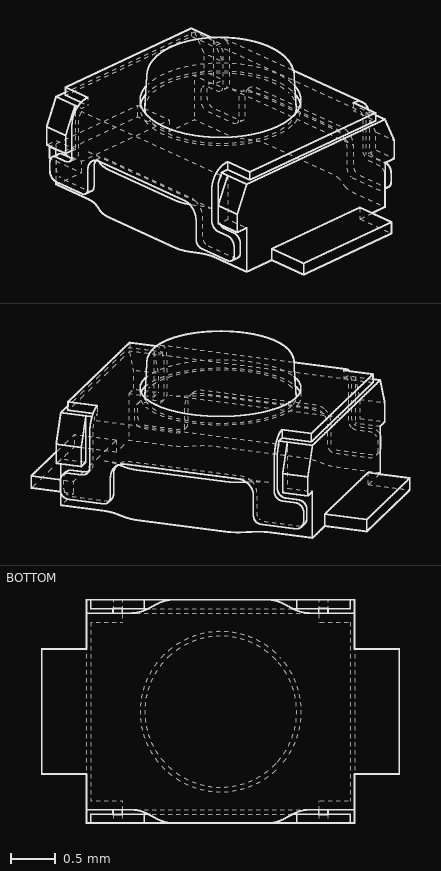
import cadquery as cq


TOTAL_LENGTH = 4.0
TOTAL_WIDTH = 2.5
TOTAL_HEIGHT = 1.61

BASE_LENGTH = 3.0
BASE_WIDTH = 2.2
BASE_HEIGHT = 1.11
POST_INNER_X = 1.2
POST_BOTTOM_Z = 0.555
POST_SLOPE_BOTTOM_Z = 0.785

BULGE_ROOT_X = 0.9
BULGE_CREST_X = 0.62
BULGE_HEIGHT = 0.6
BULGE_BEND_RADIUS = 0.4

TERMINAL_WIDTH = 1.4
TERMINAL_THICKNESS = 0.145

SHEET = 0.1
COVER_TOP_Z = BASE_HEIGHT + SHEET
COVER_LENGTH = 2.9
PLATE_WIDTH = 2.0
COVER_BEND_RADIUS = (TOTAL_WIDTH - PLATE_WIDTH) / 2
COVER_HOLE_RADIUS = 0.9
SKIRT_HALF_LENGTH = 1.1
FOOT_BOTTOM_Z = TERMINAL_THICKNESS
FOOT_TOP_Z = 0.455
FOOT_RADIUS = 0.1
FOOT_NECK_RADIUS = POST_INNER_X - SKIRT_HALF_LENGTH
NOTCH_HALF_LENGTH = 0.85
NOTCH_TOP_Z = 0.65
NOTCH_TOP_RADIUS = 0.18
NOTCH_BOTTOM_RADIUS = 0.09

BUTTON_BOTTOM_RADIUS = 0.85
BUTTON_TOP_RADIUS = 0.82
BUTTON_ROUND = 0.1


def block(length, width, bottom, top):
    """Box centred on X and Y between two heights."""
    return cq.Workplane("XY").workplane(offset=bottom).rect(length, width).extrude(top - bottom)


def round_edges_at(body, half_length, height, radius):
    """Round the edges along Y that stand at +/- half_length and at one height."""
    reach = 0.005
    for x in (-half_length, half_length):
        corner = cq.selectors.BoxSelector(
            (x - reach, -TOTAL_WIDTH, height - reach),
            (x + reach, TOTAL_WIDTH, height + reach),
        )
        body = body.edges("|Y").edges(corner).fillet(radius)
    return body


def make_posts():
    """Four corner posts that widen the base and slope in towards its top."""
    profile = (
        cq.Workplane("YZ")
        .workplane(offset=-BASE_LENGTH / 2)
        .polyline([
            (-TOTAL_WIDTH / 2, POST_BOTTOM_Z),
            (TOTAL_WIDTH / 2, POST_BOTTOM_Z),
            (TOTAL_WIDTH / 2, POST_SLOPE_BOTTOM_Z),
            (BASE_WIDTH / 2, BASE_HEIGHT),
            (-BASE_WIDTH / 2, BASE_HEIGHT),
            (-TOTAL_WIDTH / 2, POST_SLOPE_BOTTOM_Z),
        ])
        .close()
        .extrude(BASE_LENGTH)
    )
    return profile.cut(block(2 * POST_INNER_X, TOTAL_WIDTH, 0, BASE_HEIGHT))


def make_bulges():
    """Central swelling of both long sides, blended by equal bends."""
    side = BASE_WIDTH / 2
    crest = TOTAL_WIDTH / 2
    end = BASE_LENGTH / 2
    outline = [
        (-end, side),
        (-BULGE_ROOT_X, side),
        (-BULGE_CREST_X, crest),
        (BULGE_CREST_X, crest),
        (BULGE_ROOT_X, side),
        (end, side),
    ]
    opposite = [(-x, -y) for x, y in outline]
    slab = cq.Workplane("XY").polyline(outline + opposite).close().extrude(BULGE_HEIGHT)
    central = cq.selectors.BoxSelector(
        (-SKIRT_HALF_LENGTH, -TOTAL_WIDTH, 0),
        (SKIRT_HALF_LENGTH, TOTAL_WIDTH, BULGE_HEIGHT),
    )
    return slab.edges("|Z").edges(central).fillet(BULGE_BEND_RADIUS)


def make_cover():
    """Flat plate over the base with a bent skirt on each long side."""
    outside = block(COVER_LENGTH, TOTAL_WIDTH, 0, COVER_TOP_Z)
    outside = outside.edges("|X and >Z").fillet(COVER_BEND_RADIUS)
    inside = block(COVER_LENGTH, TOTAL_WIDTH - 2 * SHEET, 0, BASE_HEIGHT)
    inside = inside.edges("|X and >Z").fillet(COVER_BEND_RADIUS - SHEET)
    channel = outside.cut(inside)

    foot_bar = block(COVER_LENGTH, TOTAL_WIDTH, FOOT_BOTTOM_Z, FOOT_TOP_Z)
    foot_bar = foot_bar.edges("|Y").fillet(FOOT_RADIUS)
    web = block(2 * SKIRT_HALF_LENGTH, TOTAL_WIDTH, FOOT_BOTTOM_Z, COVER_TOP_Z)
    notch = block(2 * NOTCH_HALF_LENGTH, TOTAL_WIDTH, 0, NOTCH_TOP_Z)
    silhouette = foot_bar.union(web).cut(notch)
    silhouette = round_edges_at(silhouette, SKIRT_HALF_LENGTH, FOOT_TOP_Z, FOOT_NECK_RADIUS)
    silhouette = round_edges_at(silhouette, NOTCH_HALF_LENGTH, NOTCH_TOP_Z, NOTCH_TOP_RADIUS)
    silhouette = round_edges_at(silhouette, NOTCH_HALF_LENGTH, FOOT_BOTTOM_Z, NOTCH_BOTTOM_RADIUS)
    skirts = channel.intersect(silhouette)

    plate = block(COVER_LENGTH, PLATE_WIDTH, BASE_HEIGHT, COVER_TOP_Z)
    hole = cq.Workplane("XY").workplane(offset=BASE_HEIGHT).circle(COVER_HOLE_RADIUS).extrude(SHEET)
    return plate.union(skirts).cut(hole)


def make_housing():
    """Base with its posts, bulges, terminals and cover, all one solid."""
    base = block(BASE_LENGTH, BASE_WIDTH, 0, BASE_HEIGHT)
    terminals = block(TOTAL_LENGTH, TERMINAL_WIDTH, 0, TERMINAL_THICKNESS)
    return base.union(make_posts()).union(make_bulges()).union(terminals).union(make_cover())


def make_button():
    """Slightly tapered round button standing on the base, with a rounded top edge."""
    half_section = (
        cq.Workplane("XZ")
        .polyline([
            (0, BASE_HEIGHT),
            (BUTTON_BOTTOM_RADIUS, BASE_HEIGHT),
            (BUTTON_TOP_RADIUS, TOTAL_HEIGHT),
            (0, TOTAL_HEIGHT),
        ])
        .close()
    )
    button = half_section.revolve(360, (0, 0, 0), (0, 1, 0))
    return button.faces(">Z").edges().fillet(BUTTON_ROUND)


housing = make_housing()
button = make_button()

result = cq.Compound.makeCompound([housing.solids().val(), button.solids().val()])